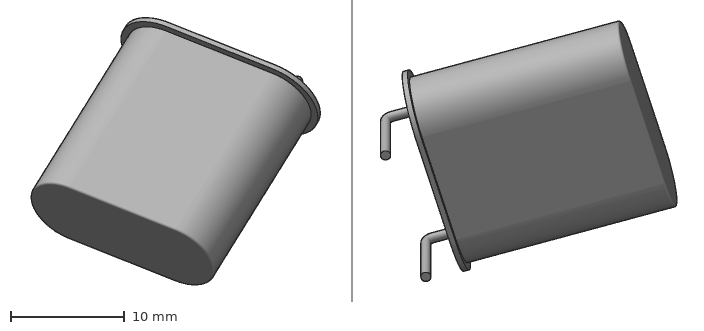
import cadquery as cq


can_width = 18.0
can_height = 7.6
can_length = 19.15
can_edge_fillet = 0.2
flange_width = 19.3
flange_height = 8.9
flange_thickness = 0.5

lead_diameter = 0.9
lead_spacing = 12.34
lead_reach = 3.0
lead_bend_radius = 0.65
overall_height = 12.0

lead_centre_y = lead_reach - lead_diameter / 2
lead_tip_z = flange_height / 2 - overall_height


def stadium_prism(width, height, front_y, rear_y):
    """Straight-sided bar with full round ends, running along Y from front_y to rear_y."""
    return (
        cq.Workplane("XZ", origin=(0, rear_y, 0))
        .slot2D(width, height)
        .extrude(rear_y - front_y)
    )


def can():
    front_y = -flange_thickness - can_length
    body = stadium_prism(can_width, can_height, front_y, -flange_thickness)
    return body.faces("<Y").edges().fillet(can_edge_fillet)


def flange():
    return stadium_prism(flange_width, flange_height, -flange_thickness, 0)


def lead(x):
    """Round wire leaving the flange along +Y and bending down to -Z."""
    path = (
        cq.Workplane("YZ", origin=(x, 0, 0))
        .moveTo(-flange_thickness, 0)
        .lineTo(lead_centre_y - lead_bend_radius, 0)
        .radiusArc((lead_centre_y, -lead_bend_radius), lead_bend_radius)
        .lineTo(lead_centre_y, lead_tip_z)
    )
    return (
        cq.Workplane("XZ", origin=(x, -flange_thickness, 0))
        .circle(lead_diameter / 2)
        .sweep(path)
    )


result = can().union(flange())
for side in (-1, 1):
    result = result.union(lead(side * lead_spacing / 2))